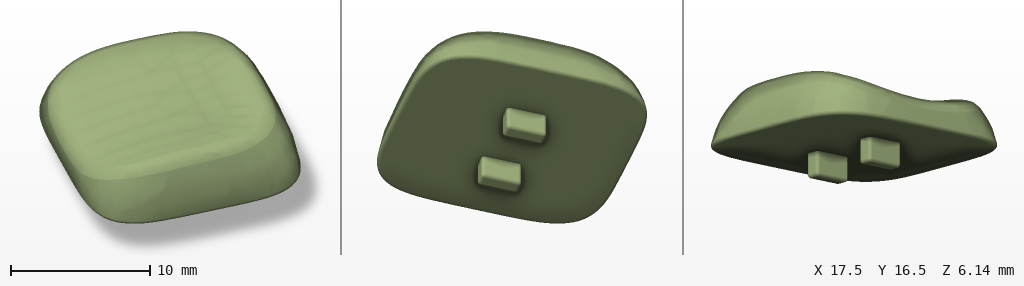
import cadquery as cq
import math


half_length = 8.74
half_width = 8.25
base_exponent = 4.5
top_exponent = 2.6
wall_radius = 6.46
blank_height = 5.42
section_count = 7
points_per_quarter = 8
base_fillet = 0.25

dish_floor = 3.42
dish_radius = 24.8
front_fall_radius = 24.1
front_sweep_angle = 60.0
rim_fillet = 1.25
back_rim_distance = 5.77
back_rise = 0.89
cutter_reach = 10.48
cutter_top = 10.48
cutter_section_count = 6
side_rise = dish_radius - math.sqrt(dish_radius**2 - cutter_reach**2)

leg_length = 3.0
leg_width = 1.17
leg_height = 1.82
leg_spacing = 5.7
leg_fillet = 0.25


def outline_point(index, inset, exponent):
    """Point on the superellipse outline, moved inwards by the inset."""
    angle = index * math.pi / (2 * points_per_quarter)
    direction = (math.cos(angle), math.sin(angle))
    norm = sum(abs(part) ** exponent for part in direction) ** (1 / exponent)
    return (
        (half_length - inset) * direction[0] / norm,
        (half_width - inset) * direction[1] / norm,
    )


def make_blank():
    """Loft the leaning walls through superellipse sections."""
    loft = cq.Workplane("XY")
    step = blank_height / (section_count - 1)
    for level in range(section_count):
        height = level * step
        inset = wall_radius - math.sqrt(wall_radius**2 - height**2)
        exponent = base_exponent + (top_exponent - base_exponent) * height / blank_height
        points = [outline_point(index, inset, exponent) for index in range(4 * points_per_quarter)]
        loft = loft.spline(points, periodic=True).close()
        if level < section_count - 1:
            loft = loft.workplane(offset=step)
    return loft.loft(combine=True)


def make_back_cutter():
    """Bowl over the back half, whose side-to-side hollow fades out into a level back rim."""
    cutter = cq.Workplane("XZ")
    step = cutter_reach / (cutter_section_count - 1)
    for row in range(cutter_section_count):
        depth_share = (row * step / back_rim_distance) ** 2
        middle = dish_floor + back_rise * depth_share
        side = middle + side_rise * (1 - depth_share)
        cutter = (
            cutter.moveTo(-cutter_reach, side)
            .threePointArc((0, middle), (cutter_reach, side))
            .lineTo(cutter_reach, cutter_top)
            .lineTo(-cutter_reach, cutter_top)
            .close()
        )
        if row < cutter_section_count - 1:
            cutter = cutter.workplane(offset=-step)
    return cutter.loft(combine=True)


def make_front_cutter():
    """Hollow from side to side that falls away towards the front."""
    axis_height = dish_floor - front_fall_radius
    return (
        cq.Workplane("XZ")
        .moveTo(-cutter_reach, dish_floor + side_rise)
        .threePointArc((0, dish_floor), (cutter_reach, dish_floor + side_rise))
        .lineTo(cutter_reach, cutter_top)
        .lineTo(-cutter_reach, cutter_top)
        .close()
        .revolve(front_sweep_angle, (0, axis_height, 0), (1, axis_height, 0))
    )


def make_leg(y):
    """Rounded leg hanging from the underside."""
    return (
        cq.Workplane("XY")
        .center(0, y)
        .rect(leg_length, leg_width)
        .extrude(-leg_height)
        .edges("|Z or <Z")
        .fillet(leg_fillet)
    )


body = make_blank().cut(make_back_cutter()).cut(make_front_cutter())
body = body.edges(">Y or <Y").fillet(rim_fillet)
body = body.faces("<Z").edges().fillet(base_fillet)

result = body
for side in (-1, 1):
    result = result.union(make_leg(side * leg_spacing / 2))